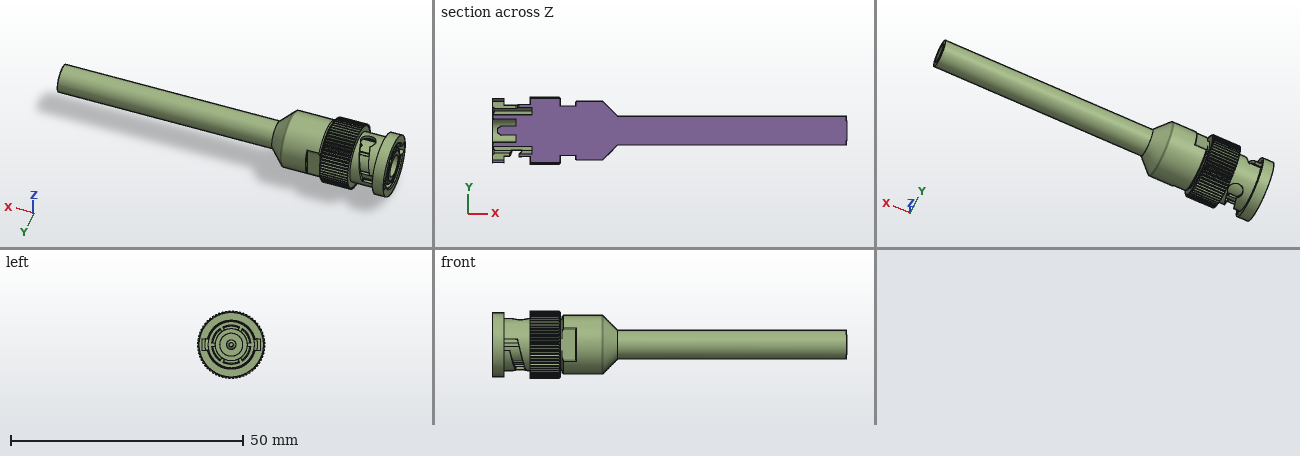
import cadquery as cq
import math


flange_diameter = 13.84
flange_length = 2.5
collar_diameter = 11.3
knurl_start = 8.1
knurl_end = 14.6
knurl_tip_diameter = 14.5
knurl_crest_share = 0.3
knurl_depth = 0.32
knurl_teeth = 60
knurl_chamfer = 0.3
sleeve_bore_diameter = 9.94
sleeve_bore_depth = 8.5
inner_overlap = 0.5
mouth_diameter = 10.56
mouth_floor_diameter = 10.25
mouth_depth = 0.3

entry_slot_width = 2.48
entry_slot_reach = 6.3
entry_slot_end = 5.1
ramp_width = 2.25
ramp_rise_per_degree = 0.0215
track_inner_radius = 4.6
track_overshoot = 0.3
ramp_start_angle = -12.5
ramp_end_angle = 75.0
ramp_zero_x = 4.53
lock_hole_diameter = 3.35
lock_hole_x = 5.97

shield_diameter = 8.45
shield_bore_diameter = 6.9
shield_front = 0.2
shield_chamfer = 0.25
shield_slit_count = 6
shield_slit_width = 0.7
insulator_front = 0.05
insulator_bore_diameter = 4.95
insulator_bore_depth = 5.0
pin_diameter = 2.03
pin_front = 1.05
pin_tip_diameter = 0.9
pin_tip_length = 0.8

neck_diameter = 11.02
body_diameter = 12.7
body_start = 15.0
body_front_chamfer = 0.3
cone_start = 23.7
cone_edge_radius = 0.3
flat_distance = 10.67
flat_end = 17.9
flat_edge_chamfer = 0.15
cable_diameter = 6.22
core_diameter = 4.27
core_length = 0.13
overall_length = 76.25

selection_margin = 0.01

cone_end = cone_start + (body_diameter - cable_diameter) / 2


def cylinder(diameter, start, end):
    """Cylinder on the X axis between two x positions."""
    return cq.Workplane("YZ").workplane(offset=start).circle(diameter / 2).extrude(end - start)


def revolved(profile):
    """Solid of revolution about the X axis from (x, radius) points."""
    return cq.Workplane("XY").polyline(profile).close().revolve(360, (0, 0, 0), (1, 0, 0))


def knurled_ring():
    """Ring of straight teeth, with its rear edge chamfered."""
    tip_radius = knurl_tip_diameter / 2
    root_radius = tip_radius - knurl_depth
    pitch = 2 * math.pi / knurl_teeth
    half_crest = pitch * knurl_crest_share / 2
    points = []
    for tooth in range(knurl_teeth):
        root_angle = tooth * pitch
        crest_angle = root_angle + pitch / 2
        for radius, angle in (
            (root_radius, root_angle),
            (tip_radius, crest_angle - half_crest),
            (tip_radius, crest_angle + half_crest),
        ):
            points.append((radius * math.cos(angle), radius * math.sin(angle)))
    length = knurl_end - knurl_start
    ring = cq.Workplane("YZ").workplane(offset=knurl_start).polyline(points).close().extrude(length)
    envelope = cylinder(knurl_tip_diameter, knurl_start, knurl_end).faces(">X").chamfer(knurl_chamfer)
    return ring.intersect(envelope)


def coupling_sleeve():
    """Flange, collar and knurled ring, bored from the front."""
    sleeve = cylinder(flange_diameter, 0, flange_length)
    sleeve = sleeve.union(cylinder(collar_diameter, 0, knurl_end))
    sleeve = sleeve.union(knurled_ring())
    bore = cylinder(sleeve_bore_diameter, 0, sleeve_bore_depth)
    mouth = revolved([
        (0, 0),
        (0, mouth_diameter / 2),
        (mouth_depth, mouth_floor_diameter / 2),
        (mouth_depth, 0),
    ])
    return sleeve.cut(bore).cut(mouth)


def bayonet_ramp():
    """Helical cutter on the -Y side, running from the entry slot down to the lock hole."""
    outer_radius = collar_diameter / 2 + track_overshoot
    mid_radius = (track_inner_radius + outer_radius) / 2
    turn = ramp_end_angle - ramp_start_angle
    helix = cq.Wire.makeHelix(360 * ramp_rise_per_degree, turn * ramp_rise_per_degree, mid_radius)
    section = cq.Workplane("XZ").center(mid_radius, 0).rect(outer_radius - track_inner_radius, ramp_width)
    ramp = section.sweep(cq.Workplane(obj=helix), isFrenet=True)
    ramp = ramp.rotate((0, 0, 0), (0, 0, 1), ramp_start_angle - 90)
    ramp = ramp.rotate((0, 0, 0), (0, 1, 0), 90)
    return ramp.translate((ramp_zero_x + ramp_start_angle * ramp_rise_per_degree, 0, 0))


def bayonet_track():
    """Entry slot on the -Y side, its ramp, and the lock hole on the -Z side."""
    slot = cq.Workplane("XY").box(
        entry_slot_end, entry_slot_reach - track_inner_radius, entry_slot_width, centered=(False, False, True)
    ).translate((0, -entry_slot_reach, 0))
    hole = (
        cq.Workplane("XY")
        .workplane(offset=-track_inner_radius)
        .center(lock_hole_x, 0)
        .circle(lock_hole_diameter / 2)
        .extrude(track_inner_radius - collar_diameter / 2 - track_overshoot)
    )
    return slot.union(bayonet_ramp()).union(hole)


def contacts():
    """Slit shield tube with the insulator inside it and the centre pin in the insulator bore."""
    rear = sleeve_bore_depth + inner_overlap
    shield = cylinder(shield_diameter, shield_front, rear).faces("<X").edges().chamfer(shield_chamfer)
    shield = shield.cut(cylinder(shield_bore_diameter, shield_front, rear))
    slit = cq.Workplane("XY").box(
        sleeve_bore_depth, shield_diameter, shield_slit_width, centered=(False, True, True)
    )
    insulator = cylinder(shield_bore_diameter, insulator_front, rear)
    insulator = insulator.cut(cylinder(insulator_bore_diameter, 0, insulator_front + insulator_bore_depth))
    pin = revolved([
        (pin_front, 0),
        (pin_front, pin_tip_diameter / 2),
        (pin_front + pin_tip_length, pin_diameter / 2),
        (rear, pin_diameter / 2),
        (rear, 0),
    ])
    for index in range(shield_slit_count // 2):
        slit_angle = index * 360 / shield_slit_count
        shield = shield.cut(slit.rotate((0, 0, 0), (1, 0, 0), slit_angle))
    return shield.union(insulator).union(pin)


def cut_wrench_flat(body, side):
    """Cut the wrench flat facing -Y (side = -1) or +Y (side = 1) and chamfer its rim on the body."""
    cutter = cq.Workplane("XY").box(
        flat_end - knurl_end, body_diameter, body_diameter, centered=(False, True, True)
    )
    body = body.cut(cutter.translate((knurl_end, side * (flat_distance + body_diameter) / 2, 0)))
    rim_zone = cq.selectors.BoxSelector(
        (body_start + body_front_chamfer, side * (flat_distance / 2 - selection_margin), -body_diameter),
        (flat_end + selection_margin, side * body_diameter, body_diameter),
    )
    side_edges = cq.selectors.ParallelDirSelector(cq.Vector(1, 0, 0))
    end_arc = cq.selectors.TypeSelector("CIRCLE")
    rim = cq.selectors.SumSelector(side_edges, end_arc)
    return body.edges(rim_zone).edges(rim).chamfer(flat_edge_chamfer)


def rear_body():
    """Neck, body with two wrench flats, cone, cable and the bared core at its end."""
    body = revolved([
        (body_start, 0),
        (body_start, body_diameter / 2 - body_front_chamfer),
        (body_start + body_front_chamfer, body_diameter / 2),
        (cone_start, body_diameter / 2),
        (cone_end, cable_diameter / 2),
        (overall_length - core_length, cable_diameter / 2),
        (overall_length - core_length, core_diameter / 2),
        (overall_length, core_diameter / 2),
        (overall_length, 0),
    ])
    cone_edge = cq.selectors.NearestToPointSelector((cone_start, 0, 0))
    body = body.edges(cone_edge).fillet(cone_edge_radius)
    body = body.union(cylinder(neck_diameter, knurl_end, body_start))
    for side in (-1, 1):
        body = cut_wrench_flat(body, side)
    return body


track = bayonet_track()
opposite_track = track.rotate((0, 0, 0), (1, 0, 0), 180)
sleeve = coupling_sleeve().cut(track).cut(opposite_track)
result = sleeve.union(contacts()).union(rear_body())